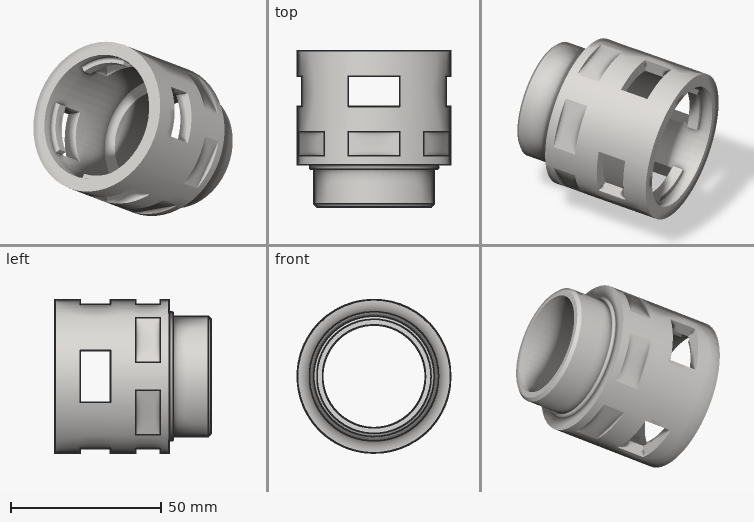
import cadquery as cq
import math

total_length = 52.0
body_diameter = 51.0
body_length = 38.0
body_bore_diameter = 42.1

neck_diameter = 40.05
neck_bore_diameter = 34.1
neck_bore_depth = 16.35
neck_chamfer = 1.05

ring_outer_diameter = 42.95
ring_thickness = 1.45

window_count = 4
window_width = 17.1
window_length = 10.0
window_to_back = 8.55

flat_count = 6
flat_length = 8.05
flat_to_shoulder = 3.0

pad_inner_diameter = 38.5
pad_angle = 48.0
pad_to_window = 0.95
pad_length = 3.65

body_radius = body_diameter / 2
front_y = -total_length / 2
back_y = total_length / 2
shoulder_y = back_y - body_length
bore_step_y = front_y + neck_bore_depth


def cylinder(diameter, start_y, end_y):
    """Cylinder along Y between two stations."""
    base = cq.Workplane("XZ", origin=(0, start_y, 0))
    return base.circle(diameter / 2).extrude(start_y - end_y)


def radial_block(width, start_y, length, inner_height, angle):
    """Block from inner_height to beyond the body, turned about Y from +Z."""
    height = body_diameter - inner_height
    block = cq.Workplane("XY").box(width, length, height, centered=(True, False, False))
    return block.translate((0, start_y, inner_height)).rotate((0, 0, 0), (0, 1, 0), angle)


def make_shell():
    """Body and chamfered neck with the stepped bore."""
    neck = cylinder(neck_diameter, front_y, shoulder_y)
    neck = neck.faces("<Y").chamfer(neck_chamfer)
    shell = cylinder(body_diameter, shoulder_y, back_y).union(neck)
    shell = shell.cut(cylinder(neck_bore_diameter, front_y, bore_step_y))
    return shell.cut(cylinder(body_bore_diameter, bore_step_y, back_y))


def make_ring():
    """Torus around the neck, touching the shoulder and sunk into the neck."""
    ring_radius = ring_thickness / 2
    center_radius = ring_outer_diameter / 2 - ring_radius
    shoulder_overlap = 0.05
    center_y = shoulder_y - ring_radius + shoulder_overlap
    section = cq.Workplane("XY").center(center_radius, center_y).circle(ring_radius)
    return section.revolve(360, (-center_radius, 0, 0), (-center_radius, 1, 0))


def cut_windows(part):
    """Cut windows through the wall at even angles."""
    start_y = back_y - window_to_back - window_length
    for index in range(window_count):
        angle = index * 360 / window_count
        part = part.cut(radial_block(window_width, start_y, window_length, 0, angle))
    return part


def add_pads(part):
    """Add an arc-shaped pad with radial ends to the bore behind each window."""
    start_y = back_y - window_to_back + pad_to_window
    inner_radius = pad_inner_diameter / 2
    outer_radius = (body_diameter + body_bore_diameter) / 4
    half_angle = math.radians(pad_angle / 2)
    inner_x = inner_radius * math.sin(half_angle)
    inner_z = inner_radius * math.cos(half_angle)
    outer_x = outer_radius * math.sin(half_angle)
    outer_z = outer_radius * math.cos(half_angle)
    outline = (
        cq.Workplane("XZ", origin=(0, start_y, 0))
        .moveTo(-inner_x, inner_z)
        .threePointArc((0, inner_radius), (inner_x, inner_z))
        .lineTo(outer_x, outer_z)
        .threePointArc((0, outer_radius), (-outer_x, outer_z))
        .close()
    )
    pad = outline.extrude(-pad_length)
    for index in range(window_count):
        angle = index * 360 / window_count
        part = part.union(pad.rotate((0, 0, 0), (0, 1, 0), angle))
    return part


def cut_flats(part):
    """Cut shallow flats near the shoulder at even angles."""
    flat_height = math.sqrt(body_radius**2 - (window_width / 2) ** 2)
    start_y = shoulder_y + flat_to_shoulder
    for index in range(flat_count):
        angle = index * 360 / flat_count
        part = part.cut(radial_block(body_diameter, start_y, flat_length, flat_height, angle))
    return part


result = make_shell().union(make_ring())
result = cut_windows(result)
result = add_pads(result)
result = cut_flats(result)